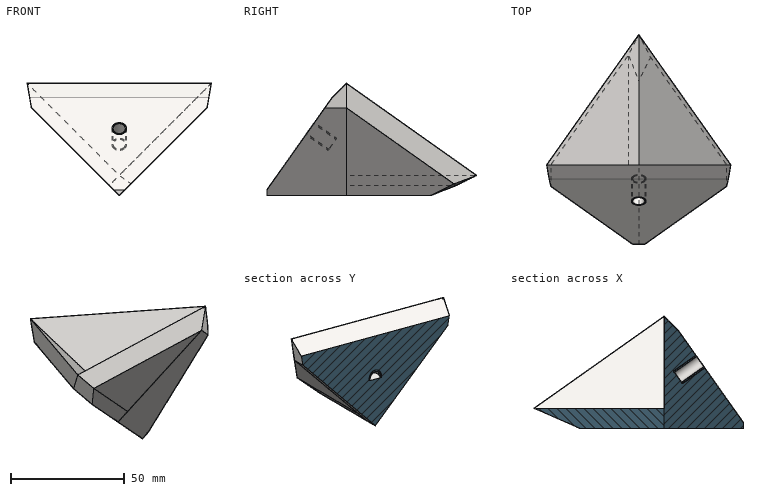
import cadquery as cq
import math

mouth_side = 81.2
total_length = 92.5
total_height = 49.6

hole_height = 29.6
sleeve_outer_diameter = 6.5
sleeve_inner_diameter = 5.4
sleeve_length = 12.0

back_end_drop = 11.5

root2 = math.sqrt(2)
half_width = mouth_side / 2
mirror_leg = mouth_side / root2
corner_height = total_height - half_width
thickness = corner_height / root2
inner_corner = (0, 0, corner_height)

outer_leg = mirror_leg - root2 * thickness
front_end = mirror_leg - total_length
outer_corner_x = (outer_leg + thickness) / root2

mount_top_y = -thickness
mount_top_z = total_height - thickness
mount_slope = root2


def mount_height(y):
    """Height of the sloping mounting face at a given Y."""
    return mount_top_z + mount_slope * (y - mount_top_y)


def make_left_plate():
    """Triangular mirror plate with a bevelled mouth edge."""
    plane = cq.Plane(inner_corner, xDir=(-1, 0, 1), normal=(-1, 0, -1))
    return (
        cq.Workplane(plane)
        .polyline([(0, 0), (mirror_leg, 0), (0, mirror_leg)]).close()
        .workplane(offset=thickness)
        .polyline([(0, 0), (outer_leg, 0), (0, outer_leg)]).close()
        .loft(ruled=True)
    )


def make_right_plate():
    """Mirror plate that also covers the lower edge of the left plate."""
    plane = cq.Plane(inner_corner, xDir=(1, 0, 1), normal=(-1, 0, 1))
    back_end = mirror_leg - back_end_drop
    outer_tip_x = (outer_leg - back_end) / (1 + root2)
    return (
        cq.Workplane(plane)
        .polyline([(-thickness, 0), (mirror_leg, 0), (0, mirror_leg), (-thickness, outer_leg)]).close()
        .workplane(offset=-thickness)
        .polyline([
            (-thickness, 0),
            (outer_leg, 0),
            (outer_tip_x, outer_leg - outer_tip_x),
            (-thickness, outer_leg - back_end_drop),
        ]).close()
        .loft(ruled=True)
    )


def make_mount_wedge():
    """Front mirror wall and its sloping mount, as one prism cut to a side profile."""
    front_profile = [
        (0, 0),
        (outer_corner_x, outer_corner_x),
        (half_width, total_height),
        (-half_width, total_height),
        (-outer_corner_x, outer_corner_x),
    ]
    side_profile = [
        (0, 0),
        (0, total_height),
        (mount_top_y, mount_top_z),
        (front_end, mount_height(front_end)),
        (front_end, 0),
    ]
    prism = cq.Workplane("XZ").polyline(front_profile).close().extrude(-front_end)
    side_cut = cq.Workplane("YZ").polyline(side_profile).close().extrude(half_width, both=True)
    return prism.intersect(side_cut)


hole_y = mount_top_y + (hole_height - mount_top_z) / mount_slope
sleeve_plane = cq.Plane((0, hole_y, hole_height), xDir=(0, 1, mount_slope), normal=(0, mount_slope, -1))


def make_sleeve():
    """Insert sleeve that sits flush in the mounting face."""
    return (
        cq.Workplane(sleeve_plane)
        .circle(sleeve_outer_diameter / 2)
        .circle(sleeve_inner_diameter / 2)
        .extrude(sleeve_length)
    )


left_plate = make_left_plate()
right_plate = make_right_plate()
sleeve_pocket = cq.Workplane(sleeve_plane).circle(sleeve_outer_diameter / 2).extrude(sleeve_length)
mount_wedge = make_mount_wedge().cut(sleeve_pocket)
sleeve = make_sleeve()

result = cq.Compound.makeCompound([
    left_plate.val(),
    right_plate.val(),
    mount_wedge.val(),
    sleeve.val(),
])